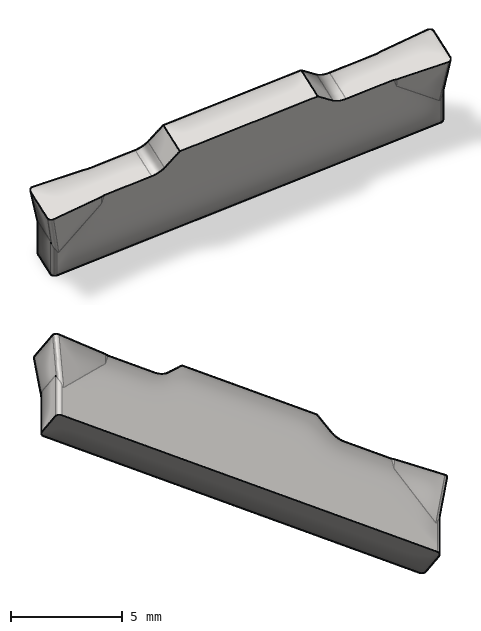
import cadquery as cq
import math

length = 20.15
cutting_width = 2.05
height = 5.52

body_width = 1.65
body_end_setback = 0.26
body_corner_radius = 0.22
shoulder_height = 4.51
raised_half_length = 3.45
ramp_angle = math.radians(45)
ramp_foot_rise = 0.25
ramp_foot_run = 0.65

head_length = 2.7
head_corner_radius = 0.2
corner_trim = 0.015
end_relief_height = 2.42
head_runout = 0.15
flank_end_height = 3.99
flank_tip_inset = 0.52
flank_tip_height = 1.63

half_length = length / 2
body_half_length = half_length - body_end_setback
head_inner_y = half_length - head_length
sharp_width = cutting_width + 2 * corner_trim
flare = (sharp_width - body_width) / 2

end_drop = shoulder_height - flank_end_height
tip_drop = shoulder_height - flank_tip_height
slope_ratio = (tip_drop - end_drop) / (head_length - flank_tip_inset)
flank_slope_z = flare / (slope_ratio * head_length + end_drop)
flank_slope_y = slope_ratio * flank_slope_z


def make_body():
    """Body with a raised middle, ramps and curved feet tangent to the shoulders."""
    ramp_foot_z = shoulder_height + ramp_foot_rise
    ramp_foot_y = raised_half_length + (height - ramp_foot_z) / math.tan(ramp_angle)
    shoulder_y = ramp_foot_y + ramp_foot_run
    foot_radius = (ramp_foot_run**2 + ramp_foot_rise**2) / (2 * ramp_foot_rise)
    foot_half_angle = math.atan2(ramp_foot_rise, ramp_foot_run)
    arc_mid_y = shoulder_y - foot_radius * math.sin(foot_half_angle)
    arc_mid_z = shoulder_height + foot_radius * (1 - math.cos(foot_half_angle))
    profile = (
        cq.Workplane("YZ")
        .moveTo(-body_half_length, 0)
        .lineTo(body_half_length, 0)
        .lineTo(body_half_length, shoulder_height)
        .lineTo(shoulder_y, shoulder_height)
        .threePointArc((arc_mid_y, arc_mid_z), (ramp_foot_y, ramp_foot_z))
        .lineTo(raised_half_length, height)
        .lineTo(-raised_half_length, height)
        .lineTo(-ramp_foot_y, ramp_foot_z)
        .threePointArc((-arc_mid_y, arc_mid_z), (-shoulder_y, shoulder_height))
        .lineTo(-body_half_length, shoulder_height)
        .close()
    )
    body = profile.extrude(body_width / 2, both=True)
    end_edges = body.faces("<Y or >Y").edges("|Z")
    return end_edges.fillet(body_corner_radius)


def head_section(y, top_half):
    """Trapezoid across the head at y, with sides leaning at the flank slope."""
    bottom_half = top_half - flank_slope_z * shoulder_height
    corners = [
        cq.Vector(-bottom_half, y, 0),
        cq.Vector(bottom_half, y, 0),
        cq.Vector(top_half, y, shoulder_height),
        cq.Vector(-top_half, y, shoulder_height),
    ]
    return cq.Wire.makePolygon(corners, close=True)


def make_head():
    """Flared head at the +Y end with a sloping end face and rounded corners."""
    runout_y = head_inner_y - head_runout
    inner_half = sharp_width / 2 - flank_slope_y * head_length
    sections = [
        head_section(runout_y, body_width / 2),
        head_section(head_inner_y, inner_half),
        head_section(half_length, sharp_width / 2),
    ]
    flared_block = cq.Workplane(cq.Solid.makeLoft(sections, True))
    end_slope = body_end_setback / (shoulder_height - end_relief_height)
    end_bottom_y = half_length - end_slope * shoulder_height
    end_outline = (
        cq.Workplane("YZ")
        .polyline([
            (runout_y, 0),
            (end_bottom_y, 0),
            (half_length, shoulder_height),
            (runout_y, shoulder_height),
        ])
        .close()
        .extrude(cutting_width, both=True)
    )
    head = flared_block.intersect(end_outline)
    end_corners = head.faces(">Y").edges("not #Z")
    return end_corners.fillet(head_corner_radius)


head = make_head()
result = make_body().union(head).union(head.mirror("XZ"))